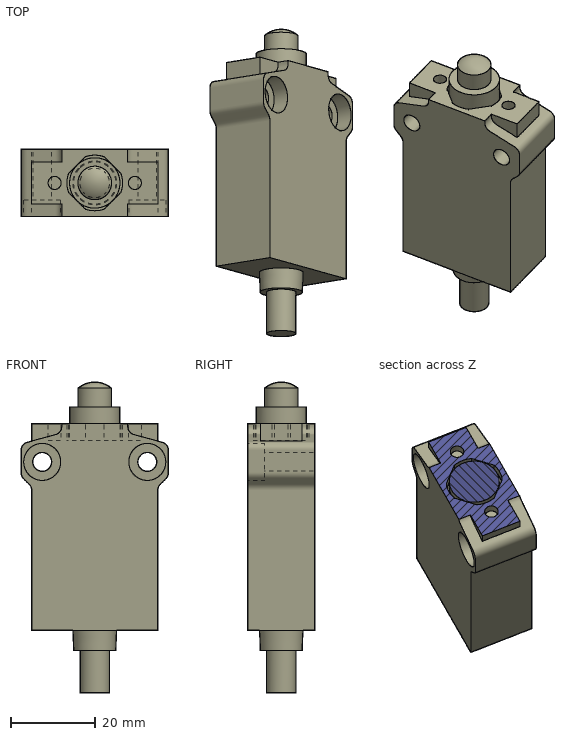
import cadquery as cq
import math

total_height = 73.9
housing_width = 30.0
housing_depth = 16.0
housing_height = 49.15
ear_span = 35.0

ear_top_corner_height = 44.35
ear_bottom_corner_height = 36.65
shoulder_slope = 15.0
shoulder_wall_half_width = 7.8
profile_radius = 2.0
top_tab_depth = 10.0

mount_hole_spacing = 25.0
mount_hole_height = 40.05
mount_hole_diameter = 4.4
mount_recess_diameter = 8.8
mount_recess_depth = 4.0

top_hole_spacing = 19.1
top_hole_diameter = 3.1
top_hole_depth = 4.0

collar_diameter = 12.0
collar_height = 4.0
plunger_diameter = 8.0
dome_height = 1.5

seat_diameter = 13.2
seat_depth = 4.0

cable_diameter = 7.0
cable_length = 14.85
gland_top_diameter = 10.4
gland_bottom_diameter = 10.05
gland_height = 4.8


def make_housing_profile():
    """Eared outline extruded through the full housing depth, with rounded corners."""
    half_width = housing_width / 2
    half_span = ear_span / 2
    ear_projection = half_span - half_width
    underside_low = ear_bottom_corner_height - ear_projection
    shoulder_rise = (half_span - shoulder_wall_half_width) * math.tan(math.radians(shoulder_slope))
    shoulder_inner_height = ear_top_corner_height + shoulder_rise

    rounded_corners = [
        (half_width, underside_low),
        (half_span, ear_bottom_corner_height),
        (half_span, ear_top_corner_height),
        (shoulder_wall_half_width, shoulder_inner_height),
    ]
    right_side = [
        (half_width, 0),
        *rounded_corners,
        (shoulder_wall_half_width, housing_height),
    ]
    left_side = [(-x, z) for x, z in reversed(right_side)]
    profile = (
        cq.Workplane("XZ")
        .polyline(right_side + left_side)
        .close()
        .extrude(housing_depth / 2, both=True)
    )
    for x, z in rounded_corners:
        for side in (-1, 1):
            corner_edge = cq.selectors.NearestToPointSelector((side * x, 0, z))
            profile = profile.edges("|Y").edges(corner_edge).fillet(profile_radius)
    return profile


def make_top_tab():
    """Narrow full-width block that fills the middle of the two shoulders."""
    tab_height = housing_height - mount_hole_height
    return cq.Workplane("XY").workplane(offset=mount_hole_height).box(
        housing_width, top_tab_depth, tab_height, centered=(True, True, False)
    )


def make_mount_holes():
    """Through holes along Y, each with a round recess on the front face."""
    centers = [(side * mount_hole_spacing / 2, mount_hole_height) for side in (-1, 1)]
    front_plane = cq.Workplane("XZ", origin=(0, -housing_depth / 2, 0)).pushPoints(centers)
    through_holes = front_plane.circle(mount_hole_diameter / 2).extrude(-housing_depth)
    recesses = front_plane.circle(mount_recess_diameter / 2).extrude(-mount_recess_depth)
    return through_holes.union(recesses)


def make_top_holes():
    """Two blind holes beside the plunger head."""
    centers = [(side * top_hole_spacing / 2, 0) for side in (-1, 1)]
    return (
        cq.Workplane("XY")
        .workplane(offset=housing_height)
        .pushPoints(centers)
        .circle(top_hole_diameter / 2)
        .extrude(-top_hole_depth)
    )


def make_collar_seat():
    """Round recess in the top face, flattened at 45 degrees where it holds the collar."""
    seat_plane = cq.Workplane("XY").workplane(offset=housing_height - seat_depth)
    round_seat = seat_plane.circle(seat_diameter / 2).extrude(seat_depth)
    flats = (
        seat_plane.transformed(rotate=(0, 0, 45))
        .rect(collar_diameter, collar_diameter)
        .extrude(seat_depth)
    )
    return round_seat.intersect(flats)


def make_housing():
    solid = make_housing_profile().union(make_top_tab())
    for cutter in (make_mount_holes(), make_top_holes(), make_collar_seat()):
        solid = solid.cut(cutter)
    return solid


def make_plunger_head():
    """Collar, plunger shaft and domed tip, revolved about Z and standing in its seat."""
    collar_radius = collar_diameter / 2
    plunger_radius = plunger_diameter / 2
    collar_bottom = housing_height - seat_depth
    collar_top = housing_height + collar_height
    tip = total_height - cable_length
    dome_base = tip - dome_height
    dome_radius = (plunger_radius**2 + dome_height**2) / (2 * dome_height)
    dome_mid_x = plunger_radius / 2
    dome_mid_z = tip - dome_radius + math.sqrt(dome_radius**2 - dome_mid_x**2)
    return (
        cq.Workplane("XZ")
        .moveTo(0, collar_bottom)
        .lineTo(collar_radius, collar_bottom)
        .lineTo(collar_radius, collar_top)
        .lineTo(plunger_radius, collar_top)
        .lineTo(plunger_radius, dome_base)
        .threePointArc((dome_mid_x, dome_mid_z), (0, tip))
        .close()
        .revolve(360, (0, 0, 0), (0, 1, 0))
    )


def make_cable():
    """Cable with its tapered gland, revolved about Z and hanging below the housing."""
    cable_radius = cable_diameter / 2
    outline = [
        (0, 0),
        (gland_top_diameter / 2, 0),
        (gland_bottom_diameter / 2, -gland_height),
        (cable_radius, -gland_height),
        (cable_radius, -cable_length),
        (0, -cable_length),
    ]
    return cq.Workplane("XZ").polyline(outline).close().revolve(360, (0, 0, 0), (0, 1, 0))


housing = make_housing()
plunger_head = make_plunger_head()
cable = make_cable()

result = cq.Compound.makeCompound([housing.val(), plunger_head.val(), cable.val()])